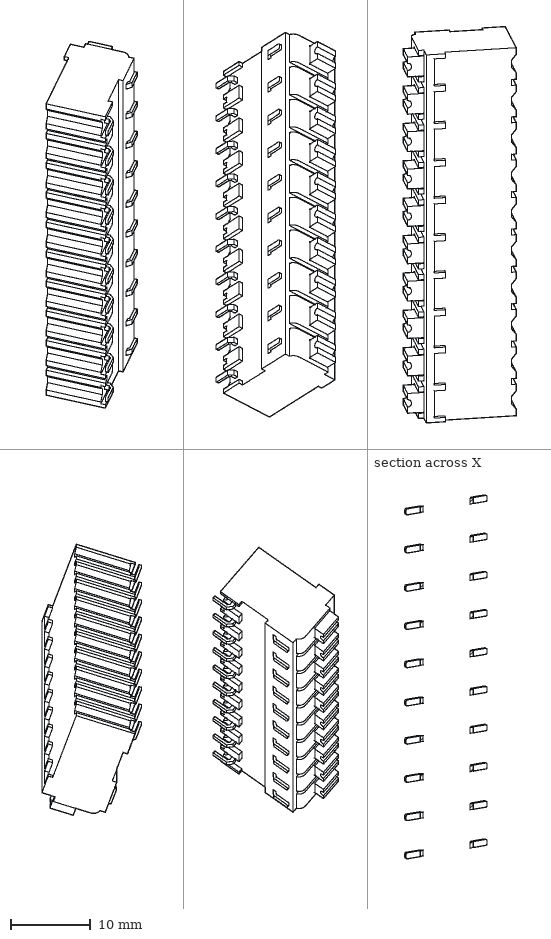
import cadquery as cq
import math

pole_count = 10
total_height = 49.2
pole_height = 4.25
pitch = (total_height - pole_height) / (pole_count - 1)
pole_bottoms = [i * pitch for i in range(pole_count)]
pole_centre = pole_height / 2

step = 0.6
housing_left = step
housing_right = 8.4
housing_front = 0.75
housing_back = 12.3
pocket_start = 3.7
pocket_end = 7.85

rim_front = 11.25
tab_front = 9.85
end_tab_height = 0.6

pad_left = 1.75
pad_height = 0.7
pad_back = housing_back + pad_height
pad_right = 7.7
pad_round = 1.1

lever_right = 4.85
lever_back = 14.35
lever_width = 2.65
channel_width = 2.85
lever_notch_radius = 0.5

groove_mouth = 2.45
groove_floor_width = 1.0
window_width = 3.05

pin_right = 9.0
pin_thickness = 0.35
pin_width = 0.8
pin_straight = 2.0
pin_tip_fillet = 0.2
upper_pin_tip = 11.85
pin_root = housing_right - 2 * step


def box(x_range, y_range, z_range):
    """Axis-aligned block between two corners."""
    size = [high - low for low, high in (x_range, y_range, z_range)]
    corner = (x_range[0], y_range[0], z_range[0])
    return cq.Workplane("XY").box(*size, centered=False).translate(corner)


def centred(middle, width):
    return (middle - width / 2, middle + width / 2)


def make_housing():
    """Full-height block with a shallow pocket in its right side."""
    heights = (0, total_height)
    block = box((housing_left, housing_right), (housing_front, housing_back), heights)
    pocket = box((housing_right - step, housing_right), (pocket_start, pocket_end), heights)
    return block.cut(pocket)


def make_rim():
    """Rim on the left side, with short tabs reaching towards the front."""
    rim = box((0, housing_left), (rim_front, housing_back), (0, total_height))
    tab_spans = [(z + pole_height, z + pitch) for z in pole_bottoms[:-1]]
    tab_spans += [(0, end_tab_height), (total_height - end_tab_height, total_height)]
    for span in tab_spans:
        rim = rim.union(box((0, housing_left), (tab_front, rim_front), span))
    return rim


def make_pad():
    """Raised pad with a rounded right edge and a channel for the lever."""
    round_run = math.sqrt(pad_round**2 - (pad_round - pad_height) ** 2)
    pad = (
        cq.Workplane("XY")
        .moveTo(pad_left, housing_back)
        .lineTo(pad_right, housing_back)
        .radiusArc((pad_right - round_run, pad_back), -pad_round)
        .lineTo(pad_left, pad_back)
        .close()
        .extrude(pole_height)
    )
    channel_span = centred(pole_centre, channel_width)
    return pad.cut(box((pad_left, lever_right), (housing_back, pad_back), channel_span))


def make_lever():
    """Lever block with a round notch across its back face."""
    lever = box((pad_left, lever_right), (housing_back, lever_back), centred(pole_centre, lever_width))
    notch = (
        cq.Workplane("YZ", origin=(pad_left, lever_back, pole_centre))
        .circle(lever_notch_radius)
        .extrude(lever_right - pad_left)
    )
    return lever.cut(notch)


def make_groove():
    """Trapezoidal groove across the front of the lowest pole."""
    floor = housing_front + step
    return (
        cq.Workplane("YZ", origin=(housing_left, 0, pole_centre))
        .polyline([
            (housing_front, -groove_mouth / 2),
            (floor, -groove_floor_width / 2),
            (floor, groove_floor_width / 2),
            (housing_front, groove_mouth / 2),
        ])
        .close()
        .extrude(housing_right - housing_left)
    )


def make_window():
    """Opening in the right side, from the front face into the pocket."""
    return box(
        (housing_right - step, housing_right),
        (housing_front, pocket_start),
        centred(pole_centre, window_width),
    )


def make_pin(tip, direction):
    """Bent pin whose straight end points along Y in the given direction (+1 or -1)."""
    inner = pin_right - pin_thickness
    outer_bend = pin_straight + pin_thickness * math.tan(math.radians(22.5))
    outer_end = outer_bend + pin_right - housing_right
    inner_end = pin_straight + inner - housing_right
    outline = [
        (inner, 0),
        (pin_right, 0),
        (pin_right, outer_bend),
        (housing_right, outer_end),
        (pin_root, outer_end),
        (pin_root, inner_end),
        (housing_right, inner_end),
        (inner, pin_straight),
    ]
    points = [(x, tip - direction * distance) for x, distance in outline]
    pin = (
        cq.Workplane("XY", origin=(0, 0, pole_centre - pin_width / 2))
        .polyline(points)
        .close()
        .extrude(pin_width)
    )
    tip_face = ">Y" if direction > 0 else "<Y"
    return pin.faces(tip_face).edges("|X").fillet(pin_tip_fillet)


def make_gap_slot():
    """Slot across the front face in the gap above a pole."""
    depth = (housing_front, housing_front + step)
    return box((housing_left, housing_right), depth, (pole_height, pitch))


pole_cuts = make_groove().union(make_window())
pole_additions = [make_pad(), make_lever(), make_pin(0, -1), make_pin(upper_pin_tip, 1)]
gap_slot = make_gap_slot()

body = make_housing().union(make_rim())
for bottom in pole_bottoms:
    body = body.cut(pole_cuts.translate((0, 0, bottom)))
for bottom in pole_bottoms[:-1]:
    body = body.cut(gap_slot.translate((0, 0, bottom)))

additions = [part.translate((0, 0, bottom)).val() for bottom in pole_bottoms for part in pole_additions]
result = cq.Workplane(body.val().fuse(*additions)).clean()